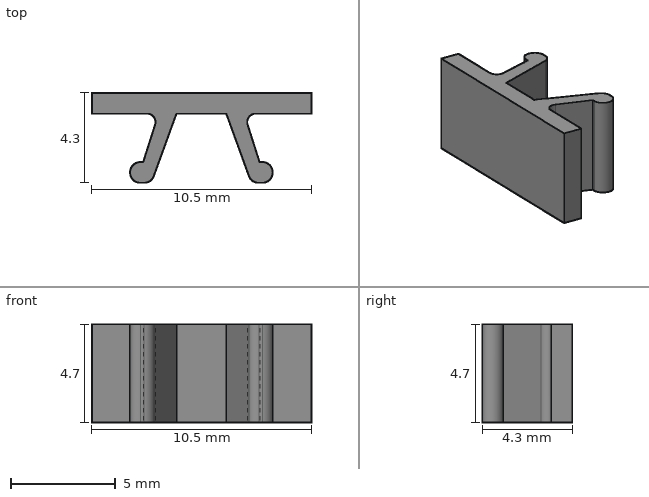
import cadquery as cq
import math

plate_length = 10.5
total_depth = 4.3
height = 4.7
plate_thickness = 1.0
clip_center_x = -0.02
bead_radius = 0.5
bead_flat = 0.17
bead_spacing = 5.82
root_gap = 2.37
neck_offset = 0.13
outer_lean = 17.7
root_fillet = 0.4

plate_front = -plate_thickness
tip_y = -total_depth
bead_y = tip_y + bead_radius
bead_top = bead_y + bead_radius
outer_bead_x = bead_spacing / 2
inner_bead_x = outer_bead_x - bead_flat
inner_root_x = root_gap / 2
neck_x = outer_bead_x - neck_offset
outer_root_x = neck_x - (plate_front - bead_top) * math.tan(math.radians(outer_lean))

root_dx = inner_root_x - inner_bead_x
root_dy = plate_front - bead_y
tangent_angle = math.atan2(root_dy, root_dx) + math.acos(bead_radius / math.hypot(root_dx, root_dy))


def inner_bead_point(angle):
    return (
        inner_bead_x + bead_radius * math.cos(angle),
        bead_y + bead_radius * math.sin(angle),
    )


def make_plate():
    return cq.Workplane("XY").rect(plate_length, plate_thickness).extrude(height).translate(
        (0, -plate_thickness / 2, 0)
    )


def make_right_leg():
    """Leaning leg with a rounded bead at its tip, rooted on the plate's front face."""
    tip_angle = 1.5 * math.pi
    return (
        cq.Workplane("XY")
        .moveTo(inner_root_x, plate_front)
        .lineTo(*inner_bead_point(tangent_angle))
        .threePointArc(inner_bead_point((tangent_angle + tip_angle) / 2), (inner_bead_x, tip_y))
        .lineTo(outer_bead_x, tip_y)
        .threePointArc((outer_bead_x + bead_radius, bead_y), (outer_bead_x, bead_top))
        .lineTo(neck_x, bead_top)
        .lineTo(outer_root_x, plate_front)
        .close()
        .extrude(height)
    )


right_leg = make_right_leg().translate((clip_center_x, 0, 0))
left_leg = make_right_leg().mirror("YZ").translate((clip_center_x, 0, 0))
body = make_plate().union(right_leg).union(left_leg)

for side in (-1, 1):
    root_point = (clip_center_x + side * outer_root_x, plate_front, height / 2)
    body = body.edges(cq.NearestToPointSelector(root_point)).fillet(root_fillet)

result = body